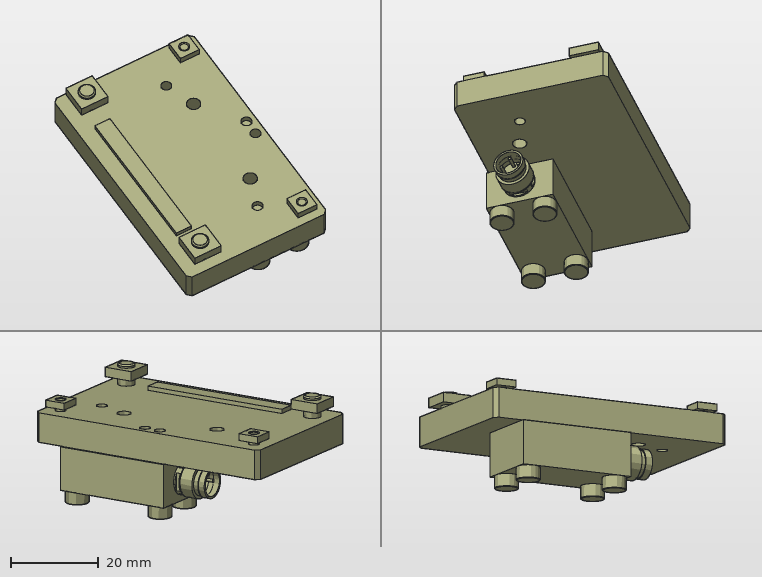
import cadquery as cq

PLATE_LENGTH = 60.0
PLATE_WIDTH = 37.0
PLATE_HEIGHT = 7.0
PLATE_CORNER_CHAMFER = 1.0

STRIP_LENGTH = 36.0
STRIP_WIDTH = 4.0
STRIP_HEIGHT = 1.0
STRIP_Y = -12.5

PAD_EDGE_X = PLATE_LENGTH / 2 - 1.5

LARGE_PAD_SIDE = 7.0
LARGE_PAD_GAP = 2.0
LARGE_PAD_HEIGHT = 2.25
LARGE_STEM_DIAMETER = 4.0
LARGE_STEM_CHAMFER = 0.35
LARGE_STEM_HEIGHT = 5.0
LARGE_PAD_X = PAD_EDGE_X - LARGE_PAD_SIDE / 2
LARGE_PAD_Y = -12.4

SMALL_PAD_SIDE = 5.0
SMALL_PAD_GAP = 1.0
SMALL_PAD_HEIGHT = 1.6
SMALL_STEM_DIAMETER = 2.5
SMALL_PAD_X = PAD_EDGE_X - SMALL_PAD_SIDE / 2
SMALL_PAD_Y = 14.0
DIMPLE_DEPTH = 0.15
DIMPLE_FLOOR_DIAMETER = 1.9

LARGE_HOLE_DIAMETER = 3.24
LARGE_HOLE_X = 12.5
LARGE_HOLE_Y = 8.4
SMALL_HOLE_DIAMETER = 2.46
BLIND_HOLE_DIAMETER = 2.5
OUTER_HOLE_X = 20.15
OUTER_HOLE_Y = 5.75
INNER_HOLE_X = 2.0
INNER_HOLE_Y = 16.1
BLIND_HOLE_DEPTH = 1.3

BLOCK_X_MIN = -4.85
BLOCK_LENGTH = 27.8
BLOCK_WIDTH = 16.0
BLOCK_HEIGHT = 10.3
BLOCK_OVERHANG = 0.5
BLOCK_Y_MAX = PLATE_WIDTH / 2 + BLOCK_OVERHANG
BLOCK_X = BLOCK_X_MIN + BLOCK_LENGTH / 2
BLOCK_Y = BLOCK_Y_MAX - BLOCK_WIDTH / 2

FOOT_DIAMETER = 5.5
FOOT_HEIGHT = 3.0
FOOT_CHAMFER = 0.15
FOOT_PITCH_X = BLOCK_LENGTH - FOOT_DIAMETER
FOOT_PITCH_Y = 10.3

CONNECTOR_Z = -BLOCK_HEIGHT / 2
FLANGE_DIAMETER = 7.5
FLANGE_LENGTH = 1.75
FLATS_WIDTH = 6.2
FLATS_START = 0.4
FLATS_LENGTH = 1.0
COLLAR_DIAMETER = 8.0
COLLAR_LENGTH = 3.3
NECK_DIAMETER = 6.5
NECK_LENGTH = 1.3
TIP_DIAMETER = 7.0
TIP_LENGTH = 1.7
CONNECTOR_LENGTH = FLANGE_LENGTH + COLLAR_LENGTH + NECK_LENGTH + TIP_LENGTH
SOCKET_DIAMETER = 6.0
SOCKET_DEPTH = 4.0
CONTACT_DIAMETER = 0.7
CONTACT_LENGTH = 3.0
CONTACT_RADIUS = 2.0


def box_on(x, y, z, length, width, height):
    """Box centred on (x, y) that rises from z."""
    return cq.Workplane("XY", origin=(x, y, z)).box(length, width, height, centered=(True, True, False))


def cylinder_on(x, y, z, diameter, height):
    """Upright cylinder that rises from z."""
    return cq.Workplane("XY", origin=(x, y, z)).circle(diameter / 2).extrude(height)


def connector_plane(distance):
    """Workplane across the connector axis, its normal pointing away from the block (local x = -Y)."""
    origin = (BLOCK_X_MIN - distance, BLOCK_Y, CONNECTOR_Z)
    return cq.Workplane(cq.Plane(origin=origin, xDir=(0, -1, 0), normal=(-1, 0, 0)))


def make_plate():
    plate = box_on(0, 0, 0, PLATE_LENGTH, PLATE_WIDTH, PLATE_HEIGHT)
    plate = plate.edges("|Z").chamfer(PLATE_CORNER_CHAMFER)
    return plate.union(box_on(0, STRIP_Y, PLATE_HEIGHT, STRIP_LENGTH, STRIP_WIDTH, STRIP_HEIGHT))


def drill_plate(plate):
    through_holes = [
        (-LARGE_HOLE_X, LARGE_HOLE_Y, LARGE_HOLE_DIAMETER),
        (LARGE_HOLE_X, LARGE_HOLE_Y, LARGE_HOLE_DIAMETER),
        (-OUTER_HOLE_X, OUTER_HOLE_Y, SMALL_HOLE_DIAMETER),
        (INNER_HOLE_X, INNER_HOLE_Y, SMALL_HOLE_DIAMETER),
    ]
    for x, y, diameter in through_holes:
        plate = plate.cut(cylinder_on(x, y, 0, diameter, PLATE_HEIGHT))
    blind_holes = [
        (OUTER_HOLE_X, OUTER_HOLE_Y),
        (-INNER_HOLE_X, INNER_HOLE_Y),
    ]
    floor_z = PLATE_HEIGHT - BLIND_HOLE_DEPTH
    for x, y in blind_holes:
        plate = plate.cut(cylinder_on(x, y, floor_z, BLIND_HOLE_DIAMETER, BLIND_HOLE_DEPTH))
    return plate


def make_large_pad(x):
    """Pad whose chamfered stem stands out above the square cap."""
    stem = cylinder_on(x, LARGE_PAD_Y, PLATE_HEIGHT, LARGE_STEM_DIAMETER, LARGE_STEM_HEIGHT)
    stem = stem.faces(">Z").chamfer(LARGE_STEM_CHAMFER)
    cap_z = PLATE_HEIGHT + LARGE_PAD_GAP
    return stem.union(box_on(x, LARGE_PAD_Y, cap_z, LARGE_PAD_SIDE, LARGE_PAD_SIDE, LARGE_PAD_HEIGHT))


def make_small_pad(x):
    """Pad with a conical, flat-bottomed dimple in its cap."""
    cap_z = PLATE_HEIGHT + SMALL_PAD_GAP
    stem = cylinder_on(x, SMALL_PAD_Y, PLATE_HEIGHT, SMALL_STEM_DIAMETER, SMALL_PAD_GAP)
    cap = box_on(x, SMALL_PAD_Y, cap_z, SMALL_PAD_SIDE, SMALL_PAD_SIDE, SMALL_PAD_HEIGHT)
    top_z = cap_z + SMALL_PAD_HEIGHT
    dimple = (
        cq.Workplane("XY", origin=(x, SMALL_PAD_Y, top_z))
        .circle(SMALL_STEM_DIAMETER / 2)
        .workplane(offset=-DIMPLE_DEPTH)
        .circle(DIMPLE_FLOOR_DIAMETER / 2)
        .loft()
    )
    return stem.union(cap).cut(dimple)


def make_block():
    block = box_on(BLOCK_X, BLOCK_Y, -BLOCK_HEIGHT, BLOCK_LENGTH, BLOCK_WIDTH, BLOCK_HEIGHT)
    foot_z = -BLOCK_HEIGHT - FOOT_HEIGHT
    for side_x in (-1, 1):
        for side_y in (-1, 1):
            x = BLOCK_X + side_x * FOOT_PITCH_X / 2
            y = BLOCK_Y + side_y * FOOT_PITCH_Y / 2
            foot = cylinder_on(x, y, foot_z, FOOT_DIAMETER, FOOT_HEIGHT)
            block = block.union(foot.faces("<Z").chamfer(FOOT_CHAMFER))
    return block


def make_connector():
    sections = [
        (FLANGE_DIAMETER, FLANGE_LENGTH),
        (COLLAR_DIAMETER, COLLAR_LENGTH),
        (NECK_DIAMETER, NECK_LENGTH),
        (TIP_DIAMETER, TIP_LENGTH),
    ]
    connector = cq.Workplane("XY")
    distance = 0.0
    for diameter, length in sections:
        connector = connector.add(connector_plane(distance).circle(diameter / 2).extrude(length))
        distance += length
    connector = connector.combine()

    flats = (
        connector_plane(FLATS_START)
        .circle(FLANGE_DIAMETER)
        .rect(FLATS_WIDTH, FLATS_WIDTH)
        .extrude(FLATS_LENGTH)
    )
    connector = connector.cut(flats)

    socket_floor = CONNECTOR_LENGTH - SOCKET_DEPTH
    connector = connector.cut(connector_plane(socket_floor).circle(SOCKET_DIAMETER / 2).extrude(SOCKET_DEPTH))
    contact_points = [(-CONTACT_RADIUS, 0), (0, CONTACT_RADIUS), (CONTACT_RADIUS, 0)]
    contacts = (
        connector_plane(socket_floor)
        .pushPoints(contact_points)
        .circle(CONTACT_DIAMETER / 2)
        .extrude(CONTACT_LENGTH)
    )
    return connector.union(contacts)


result = drill_plate(make_plate()).union(make_block()).union(make_connector())
for side in (-1, 1):
    result = result.union(make_large_pad(side * LARGE_PAD_X))
    result = result.union(make_small_pad(side * SMALL_PAD_X))